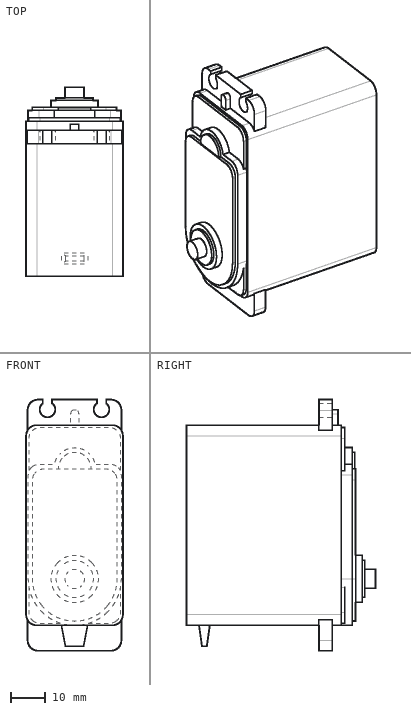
import cadquery as cq

case_width = 28.5
case_depth = 45.55
case_height = 58.8
corner_radius = 3.2

ear_width = 27.6
ear_height = 73.85
ear_rear = 38.9
ear_front = 42.9
hole_spacing = 15.9
hole_diameter = 4.5
hole_z = 34.0
slot_width = 2.65

rib_width = 2.35
rib_front = 44.6
rib_top = 34.0

pad_width = 26.9
pad_height = 57.45
pad_front = 46.5
cover_radius = 13.65
cover_shoulder = 17.95
cover_front = 48.7
step_radius = 12.4
step_shoulder = 16.55
step_front = 49.7

hump_z = 16.7
hump_radius = 6.1
hump_cap_radius = 4.8
hump_cap_front = 49.5

shaft_z = -15.7
boss_diameter = 13.9
boss_front = 51.7
collar_diameter = 10.9
collar_front = 52.4
shaft_diameter = 5.7
shaft_front = 55.6

tab_y = 5.3
tab_root_width = 7.7
tab_root_thickness = 3.25
tab_tip_width = 5.3
tab_tip_thickness = 1.5
tab_bottom = -35.6


def plane_at(y):
    """XZ sketch plane at the given Y, extruding toward +Y."""
    return cq.Workplane(cq.Plane(origin=(0, y, 0), xDir=(-1, 0, 0), normal=(0, 1, 0)))


def rounded_plate(width, height, rear, front):
    plate = plane_at(rear).rect(width, height).extrude(front - rear)
    return plate.edges("|Y").fillet(corner_radius)


def disc(z, radius, rear, front):
    return plane_at(rear).center(0, z).circle(radius).extrude(front - rear)


def arched_plate(radius, shoulder, rear, front):
    """Plate with rounded top corners and a semicircular bottom around the shaft."""
    plate = (
        plane_at(rear)
        .moveTo(-radius, shaft_z)
        .lineTo(-radius, shoulder)
        .lineTo(radius, shoulder)
        .lineTo(radius, shaft_z)
        .threePointArc((0, shaft_z - radius), (-radius, shaft_z))
        .close()
        .extrude(front - rear)
    )
    return plate.edges("|Y and >Z").fillet(corner_radius)


def mounting_plate():
    plate = rounded_plate(ear_width, ear_height, ear_rear, ear_front)
    thickness = ear_front - ear_rear
    slot_length = ear_height / 2 - hole_z
    for x in (-hole_spacing / 2, hole_spacing / 2):
        sketch = plane_at(ear_rear).center(x, hole_z)
        hole = sketch.circle(hole_diameter / 2).extrude(thickness)
        slot = sketch.center(0, slot_length / 2).rect(slot_width, slot_length).extrude(thickness)
        plate = plate.cut(hole).cut(slot)
    return plate


def ear_rib():
    rib_radius = rib_width / 2
    arc_z = rib_top - rib_radius
    return (
        plane_at(ear_rear)
        .moveTo(-rib_radius, 0)
        .lineTo(-rib_radius, arc_z)
        .threePointArc((0, rib_top), (rib_radius, arc_z))
        .lineTo(rib_radius, 0)
        .close()
        .extrude(rib_front - ear_rear)
    )


def cable_tab():
    return (
        cq.Workplane("XY", origin=(0, tab_y, tab_bottom))
        .rect(tab_tip_width, tab_tip_thickness)
        .workplane(offset=-case_height / 2 - tab_bottom)
        .rect(tab_root_width, tab_root_thickness)
        .loft(ruled=True)
    )


result = (
    rounded_plate(case_width, case_height, 0, case_depth)
    .union(mounting_plate())
    .union(ear_rib())
    .union(cable_tab())
    .union(rounded_plate(pad_width, pad_height, case_depth, pad_front))
    .union(arched_plate(cover_radius, cover_shoulder, case_depth, cover_front))
    .union(disc(hump_z, hump_radius, case_depth, cover_front))
    .union(arched_plate(step_radius, step_shoulder, cover_front, step_front))
    .union(disc(hump_z, hump_cap_radius, cover_front, hump_cap_front))
    .union(disc(shaft_z, boss_diameter / 2, step_front, boss_front))
    .union(disc(shaft_z, collar_diameter / 2, boss_front, collar_front))
    .union(disc(shaft_z, shaft_diameter / 2, collar_front, shaft_front))
)